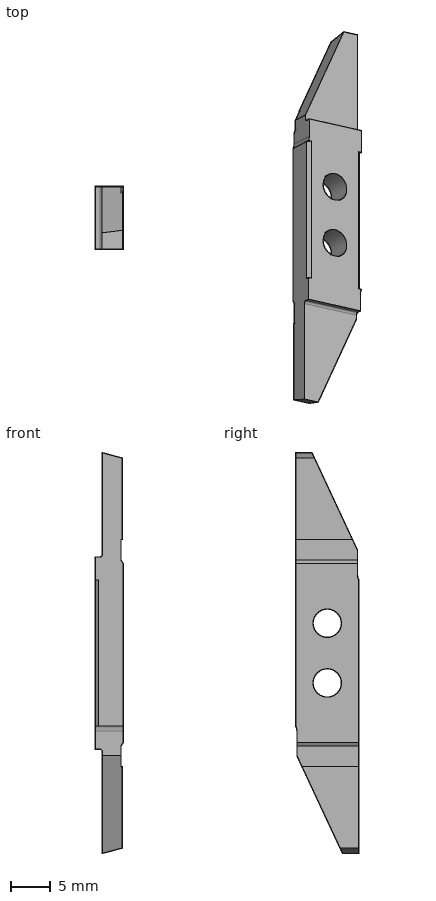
import cadquery as cq
import math

length = 50.5
width = 8.0
thickness = 3.6
half_length = length / 2
half_width = width / 2

body_half_length = 12.1
blade_front = 0.9
back_step = 0.15
blade_back = thickness - back_step
neck_back = thickness - 2 * back_step
neck_end = 14.3
back_body_end = 11.25
back_step_rise = 0.45
root_radius = 0.3
tip_angle = 15.0
tip_drop = (blade_back - blade_front) * math.tan(math.radians(tip_angle))

tip_width = 2.05
taper_start = 12.95
side_relief = 0.15
land_half_length = 9.2
relief_run = 0.6
relief_radius = (relief_run**2 + side_relief**2) / (2 * side_relief)

edge_chamfer = 0.45
hole_diameter = 3.55
hole_spacing = 7.5


def thickness_profile():
    """Stepped side profile in XZ, extruded across the full width."""
    upper = [
        (0, body_half_length),
        (blade_front, body_half_length),
        (blade_front, half_length),
        (blade_back, half_length - tip_drop),
        (blade_back, neck_end),
        (neck_back, neck_end),
        (neck_back, back_body_end + back_step_rise),
        (thickness, back_body_end),
    ]
    lower = [(x, -z) for x, z in reversed(upper)]
    blank = cq.Workplane("XZ").polyline(upper + lower).close().extrude(half_width, both=True)
    for z in (body_half_length, -body_half_length):
        root = cq.selectors.NearestToPointSelector((blade_front, 0, z))
        blank = blank.edges("|Y").edges(root).fillet(root_radius)
    return blank


def width_outline():
    """Two opposed tapered blades with shallow curved side reliefs, in YZ."""
    relieved_side = half_width - side_relief
    relief_end = land_half_length + relief_run
    arc_mid_angle = math.asin(relief_run / relief_radius) / 2
    arc_mid_y = relieved_side + relief_radius * (1 - math.cos(arc_mid_angle))
    arc_mid_z = relief_end - relief_radius * math.sin(arc_mid_angle)
    tip_inner = half_width - tip_width
    return (
        cq.Workplane("YZ")
        .moveTo(-half_width, half_length)
        .lineTo(-tip_inner, half_length)
        .lineTo(relieved_side, taper_start)
        .lineTo(relieved_side, relief_end)
        .threePointArc((arc_mid_y, arc_mid_z), (half_width, land_half_length))
        .lineTo(half_width, -half_length)
        .lineTo(tip_inner, -half_length)
        .lineTo(-relieved_side, -taper_start)
        .lineTo(-relieved_side, -relief_end)
        .threePointArc((-arc_mid_y, -arc_mid_z), (-half_width, -land_half_length))
        .close()
        .extrude(thickness)
    )


def edge_chamfer_cutter(side):
    """Triangular prism removing the front edge on one side of the land."""
    edge_y = side * half_width
    return (
        cq.Workplane("XY")
        .workplane(offset=-land_half_length)
        .polyline([(0, edge_y), (edge_chamfer, edge_y), (0, edge_y - side * edge_chamfer)])
        .close()
        .extrude(2 * land_half_length)
    )


def mounting_holes():
    centers = [(0, -hole_spacing / 2), (0, hole_spacing / 2)]
    return cq.Workplane("YZ").pushPoints(centers).circle(hole_diameter / 2).extrude(thickness)


result = thickness_profile().intersect(width_outline())
for side in (-1, 1):
    result = result.cut(edge_chamfer_cutter(side))
result = result.cut(mounting_holes())